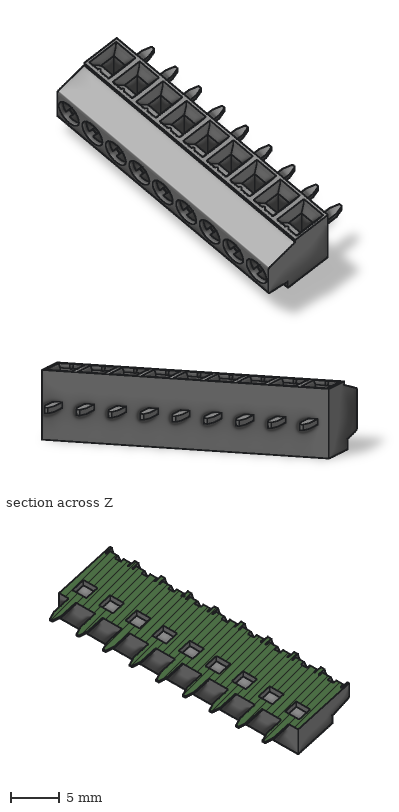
import cadquery as cq


TERMINALS = 9
PITCH = 3.5
LENGTH = 31.5
FIRST_X = -PITCH * (TERMINALS - 1) / 2
TERMINAL_XS = [FIRST_X + i * PITCH for i in range(TERMINALS)]

HEIGHT = 7.3
DEPTH = 8.5
TOP_DEPTH = 4.65
TOP_STEP = 0.38
FOOT_DEPTH = 5.7
FOOT_HEIGHT = 1.1
FRONT_BOTTOM_Z = 1.58
FRONT_TOP_Z = HEIGHT - 1.4
FRONT_FILLET = 0.3
AXIS_Z = 3.78

PIN_LENGTH = 3.5
PIN_WIDTH = 1.0
PIN_THICKNESS = 0.6
PIN_TAPER = 1.07
PIN_TIP_WIDTH = 0.38
PIN_ROOT = 0.3

ENTRY_WIDTH = 2.87
ENTRY_BACK_Y = -0.38
ENTRY_FRONT_Y = -4.2
THROAT_SIZE = 1.8
THROAT_BACK_Y = -1.23
FUNNEL_DEPTH = 1.13
LIP_DEPTH = 0.45
LIP_BACK_INSET = 0.25
LIP_FRONT_INSET = 0.13
SHAFT_FLOOR_DEPTH = 4.4
RIB_RADIUS = 0.2

SCREW_HOLE_DIAMETER = 3.0
SCREW_HEAD_DIAMETER = 2.8
SCREW_HOLE_DEPTH = 1.0
SCREW_HEAD_RECESS = 0.5
SLOT_WIDTH = 0.63
SLOT_DEPTH = 0.47
SLOT_ANGLE = 60.0


def make_housing():
    profile = [
        (0, 0),
        (0, HEIGHT),
        (-TOP_DEPTH, HEIGHT),
        (-TOP_DEPTH, HEIGHT - TOP_STEP),
        (-DEPTH, FRONT_TOP_Z),
        (-DEPTH, FRONT_BOTTOM_Z),
        (-FOOT_DEPTH, FOOT_HEIGHT),
        (-FOOT_DEPTH, 0),
    ]
    housing = cq.Workplane("YZ").polyline(profile).close().extrude(LENGTH / 2, both=True)
    return housing.faces("<Y").edges("|X").fillet(FRONT_FILLET)


def make_pin():
    half_width = PIN_WIDTH / 2
    half_tip = PIN_TIP_WIDTH / 2
    shoulder_y = PIN_LENGTH - PIN_TAPER
    outline = [
        (-half_width, -PIN_ROOT),
        (-half_width, shoulder_y),
        (-half_tip, PIN_LENGTH),
        (half_tip, PIN_LENGTH),
        (half_width, shoulder_y),
        (half_width, -PIN_ROOT),
    ]
    flat = cq.Workplane("XY", origin=(0, 0, AXIS_Z)).polyline(outline).close()
    return flat.extrude(PIN_THICKNESS / 2, both=True)


def funnel_stage(upper, lower):
    """Ruled solid between two (width, back Y, front Y, Z) rectangles centred on X = 0."""
    width, back_y, front_y, upper_z = upper
    lower_width, lower_back_y, lower_front_y, lower_z = lower
    lower_shift = (lower_back_y + lower_front_y - back_y - front_y) / 2
    return (
        cq.Workplane("XY", origin=(0, (back_y + front_y) / 2, upper_z))
        .rect(width, back_y - front_y)
        .workplane(offset=lower_z - upper_z)
        .center(0, lower_shift)
        .rect(lower_width, lower_back_y - lower_front_y)
        .loft(ruled=True)
    )


def make_wire_entry():
    throat_front_y = THROAT_BACK_Y - THROAT_SIZE
    lip_width = ENTRY_WIDTH - (ENTRY_WIDTH - THROAT_SIZE) * LIP_DEPTH / FUNNEL_DEPTH
    rim = (ENTRY_WIDTH, ENTRY_BACK_Y, ENTRY_FRONT_Y, HEIGHT)
    lip = (lip_width, ENTRY_BACK_Y - LIP_BACK_INSET, ENTRY_FRONT_Y + LIP_FRONT_INSET, HEIGHT - LIP_DEPTH)
    throat = (THROAT_SIZE, THROAT_BACK_Y, throat_front_y, HEIGHT - FUNNEL_DEPTH)
    shaft_floor = (THROAT_SIZE, THROAT_BACK_Y, throat_front_y, HEIGHT - SHAFT_FLOOR_DEPTH)
    entry = funnel_stage(rim, lip)
    entry = entry.union(funnel_stage(lip, throat))
    entry = entry.union(funnel_stage(throat, shaft_floor))
    rib = (
        cq.Workplane("XY", origin=(0, ENTRY_FRONT_Y, HEIGHT - FUNNEL_DEPTH))
        .circle(RIB_RADIUS)
        .extrude(FUNNEL_DEPTH)
    )
    return entry.cut(rib)


def front_cylinder(diameter, start_depth, end_depth):
    """Cylinder on the screw axis between two depths behind the front face."""
    plane = cq.Workplane("XZ", origin=(0, start_depth - DEPTH, AXIS_Z))
    return plane.circle(diameter / 2).extrude(start_depth - end_depth)


def make_screw_recess():
    hole = front_cylinder(SCREW_HOLE_DIAMETER, 0, SCREW_HOLE_DEPTH)
    head = front_cylinder(SCREW_HEAD_DIAMETER, SCREW_HEAD_RECESS, SCREW_HOLE_DEPTH)
    slot = (
        cq.Workplane("XY")
        .box(SCREW_HOLE_DIAMETER, SLOT_DEPTH, SLOT_WIDTH)
        .rotate((0, 0, 0), (0, 1, 0), -SLOT_ANGLE)
        .translate((0, SCREW_HEAD_RECESS + SLOT_DEPTH / 2 - DEPTH, AXIS_Z))
    )
    return hole.cut(head.cut(slot))


result = make_housing()
wire_entry = make_wire_entry()
screw_recess = make_screw_recess()
pin = make_pin()
for x in TERMINAL_XS:
    result = result.cut(wire_entry.translate((x, 0, 0)))
    result = result.cut(screw_recess.translate((x, 0, 0)))
    result = result.union(pin.translate((x, 0, 0)))